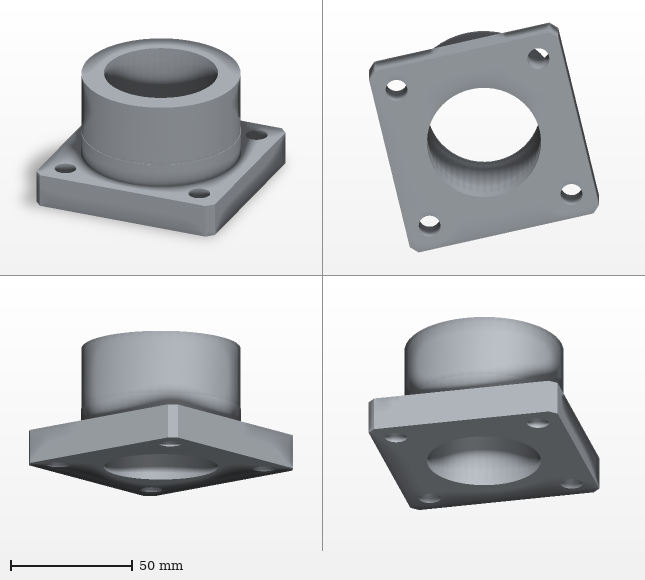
import cadquery as cq

flange_side = 80.0
flange_thickness = 14.0
corner_chamfer = 3.0

bolt_spacing = 60.0
bolt_diameter = 9.0

total_height = 50.0
seat_diameter = 66.0
seat_height = 10.0
barrel_diameter = 65.6
bore_diameter = 47.0


def make_flange():
    """Square plate with chamfered corners, resting on Z = 0."""
    plate = cq.Workplane("XY").rect(flange_side, flange_side).extrude(flange_thickness)
    return plate.edges("|Z").chamfer(corner_chamfer)


def make_sleeve():
    """Stepped cylinder from the base of the flange up to the full height."""
    seat = cq.Workplane("XY").circle(seat_diameter / 2).extrude(flange_thickness + seat_height)
    barrel = cq.Workplane("XY").circle(barrel_diameter / 2).extrude(total_height)
    return seat.union(barrel)


def cut_bore(body):
    """Central bore through the whole part."""
    bore = cq.Workplane("XY").circle(bore_diameter / 2).extrude(total_height)
    return body.cut(bore)


def cut_bolt_holes(body):
    """Four through holes on a square pattern in the flange."""
    holes = (
        cq.Workplane("XY")
        .rect(bolt_spacing, bolt_spacing, forConstruction=True)
        .vertices()
        .circle(bolt_diameter / 2)
        .extrude(flange_thickness)
    )
    return body.cut(holes)


result = cut_bolt_holes(cut_bore(make_flange().union(make_sleeve())))